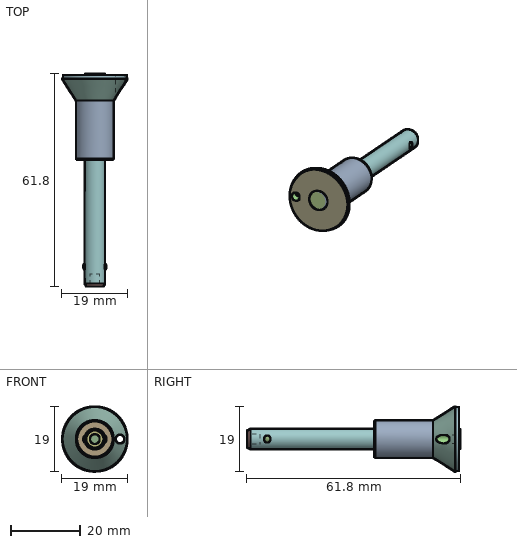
import cadquery as cq

overall_length = 61.8
button_height = 0.45
lip_station = 1.5
flare_start = 1.65
collar_start = 7.9
collar_end = 25.0

rim_diameter = 19.0
cap_diameter = 18.6
collar_diameter = 11.0
shank_diameter = 6.0
button_diameter = 5.8

collar_chamfer = 0.4
button_round = 0.4
tip_chamfer_length = 0.9
tip_chamfer_depth = 0.5

ball_diameter = 2.5
ball_span = 6.8
ball_to_tip = 5.8

tip_bore_diameter = 2.85
tip_bore_depth = 3.7
lanyard_hole_diameter = 2.5
lanyard_hole_offset = 7.3


def make_body():
    """Revolve the button, end cap, flared head, collar and shank about the Y axis."""
    button_radius = button_diameter / 2
    rim_radius = rim_diameter / 2
    collar_radius = collar_diameter / 2
    shank_radius = shank_diameter / 2
    cap_radius = cap_diameter / 2
    profile = (
        cq.Workplane("XY")
        .lineTo(button_radius - button_round, 0)
        .radiusArc((button_radius, -button_round), button_round)
        .lineTo(button_radius, -button_height)
        .lineTo(cap_radius, -button_height)
        .lineTo(cap_radius, -lip_station)
        .lineTo(rim_radius, -lip_station)
        .lineTo(rim_radius, -flare_start)
        .lineTo(collar_radius, -collar_start)
        .lineTo(collar_radius, -collar_end + collar_chamfer)
        .lineTo(collar_radius - collar_chamfer, -collar_end)
        .lineTo(shank_radius, -collar_end)
        .lineTo(shank_radius, -overall_length + tip_chamfer_length)
        .lineTo(shank_radius - tip_chamfer_depth, -overall_length)
        .lineTo(0, -overall_length)
        .close()
    )
    return profile.revolve(360, (0, 0, 0), (0, 1, 0))


def add_locking_balls(body):
    """Seat a ball on each side of the shank near the tip."""
    ball_offset = (ball_span - ball_diameter) / 2
    ball_station = -overall_length + ball_to_tip
    for side in (-1, 1):
        ball = cq.Workplane("XY").sphere(ball_diameter / 2)
        body = body.union(ball.translate((side * ball_offset, ball_station, 0)))
    return body


def make_tip_bore():
    """Blind bore entering the shank tip."""
    tip_plane = cq.Workplane("XZ", origin=(0, -overall_length, 0))
    return tip_plane.circle(tip_bore_diameter / 2).extrude(-tip_bore_depth)


def make_lanyard_hole():
    """Hole through the flared head, parallel to the pin axis."""
    head_plane = cq.Workplane("XZ").center(lanyard_hole_offset, 0)
    return head_plane.circle(lanyard_hole_diameter / 2).extrude(collar_start)


result = add_locking_balls(make_body()).cut(make_tip_bore()).cut(make_lanyard_hole())